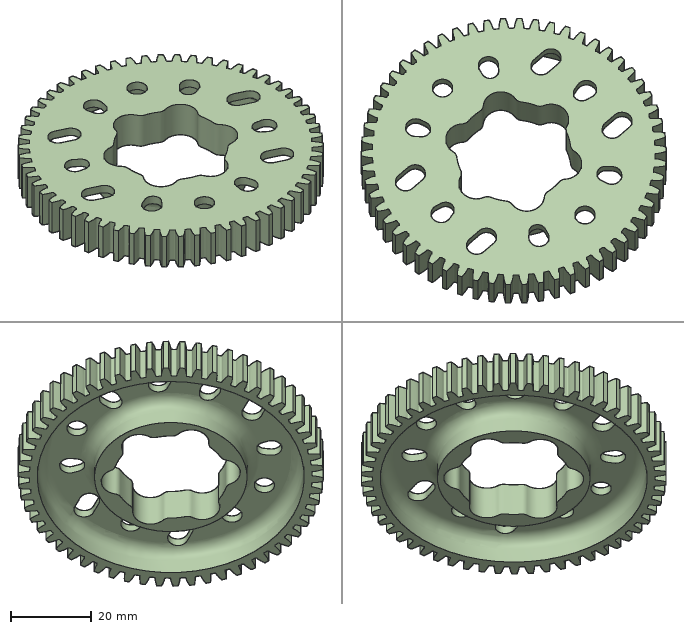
import cadquery as cq
import math

INCH = 25.4

face_width = 0.375 * INCH
tooth_count = 58
diametral_pitch = 20
module = INCH / diametral_pitch
pressure_angle = math.radians(14.5)
dedendum_factor = 1.2
pitch_radius = tooth_count * module / 2
tip_radius = pitch_radius + module
root_radius = pitch_radius - dedendum_factor * module
base_radius = pitch_radius * math.cos(pressure_angle)
root_fillet = 0.35

plus_y = math.pi / 2

lobe_count = 6
bore_radius = 1.125 * INCH / 2
lobe_radius = 4.39
lobe_center_radius = 13.07
lobe_blend_radius = 2.12

bolt_circle_radius = INCH
bolt_diameter = 5.05
slot_x = bolt_circle_radius / 2
slot_inner_y = math.sqrt(bolt_circle_radius**2 - slot_x**2)
slot_outer_y = bolt_circle_radius
small_bolt_circle_radius = 1.875 * INCH / 2
small_bolt_diameter = 4.3
tapered_hole_count = 6

web_thickness = 2.3
hub_radius = 0.75 * INCH
rim_inner_radius = 1.3125 * INCH
recess_fillet = 0.125 * INCH


def polar(radius, angle):
    """Point at the given radius and angle (radians) about the gear axis."""
    return (radius * math.cos(angle), radius * math.sin(angle))


def involute(angle):
    """Involute function of a pressure angle."""
    return math.tan(angle) - angle


def half_tooth_angle(radius):
    """Half the angle a tooth spans at a radius on or above the base circle."""
    local_pressure_angle = math.acos(base_radius / radius)
    pitch_half_angle = math.pi / (2 * tooth_count)
    return pitch_half_angle + involute(pressure_angle) - involute(local_pressure_angle)


def make_blank():
    """Solid spur gear with involute flanks, radial below the base circle."""
    tooth_pitch = 2 * math.pi / tooth_count
    base_half = half_tooth_angle(base_radius)
    tip_half = half_tooth_angle(tip_radius)
    tip_roll = math.sqrt((tip_radius / base_radius) ** 2 - 1)
    mid_radius = base_radius * math.hypot(1, tip_roll / 2)
    mid_half = half_tooth_angle(mid_radius)

    outline = cq.Workplane("XY").moveTo(*polar(root_radius, plus_y - base_half))
    for index in range(tooth_count):
        middle = plus_y + index * tooth_pitch
        start = middle - base_half
        end = middle + base_half
        outline = (
            outline.lineTo(*polar(base_radius, start))
            .spline(
                [polar(mid_radius, middle - mid_half), polar(tip_radius, middle - tip_half)],
                tangents=[polar(1, start), polar(1, start + tip_roll)],
                includeCurrent=True,
            )
            .threePointArc(polar(tip_radius, middle), polar(tip_radius, middle + tip_half))
            .spline(
                [polar(mid_radius, middle + mid_half), polar(base_radius, end)],
                tangents=[polar(-1, end - tip_roll), polar(-1, end)],
                includeCurrent=True,
            )
            .lineTo(*polar(root_radius, end))
            .threePointArc(
                polar(root_radius, middle + tooth_pitch / 2),
                polar(root_radius, start + tooth_pitch),
            )
        )
    blank = outline.close().extrude(face_width)

    below_base_radius = (root_radius + base_radius) / 2
    root_edges = [
        edge
        for edge in blank.edges("|Z").vals()
        if math.hypot(edge.Center().x, edge.Center().y) < below_base_radius
    ]
    return blank.newObject(root_edges).fillet(root_fillet)


def make_recess():
    """Ring removed from the underside, with a rounded ceiling under the web."""
    ring = (
        cq.Workplane("XY")
        .circle(rim_inner_radius)
        .circle(hub_radius)
        .extrude(face_width - web_thickness)
    )
    return ring.faces(">Z").edges().fillet(recess_fillet)


def make_bore():
    """Through bore with six lobes blended into the round bore, one lobe on +Y."""
    to_axis = bore_radius + lobe_blend_radius
    to_lobe = lobe_radius + lobe_blend_radius
    blend_angle = math.acos(
        (to_axis**2 + lobe_center_radius**2 - to_lobe**2) / (2 * to_axis * lobe_center_radius)
    )
    blend_along, blend_across = polar(to_axis, blend_angle)
    lobe_side_angle = math.atan2(blend_across, blend_along - lobe_center_radius)

    touch_along, touch_across = polar(lobe_radius, lobe_side_angle)
    touch_along += lobe_center_radius
    touch_radius = math.hypot(touch_along, touch_across)
    touch_angle = math.atan2(touch_across, touch_along)

    mid_along, mid_across = polar(lobe_blend_radius, math.pi + (blend_angle + lobe_side_angle) / 2)
    mid_along += blend_along
    mid_across += blend_across
    mid_radius = math.hypot(mid_along, mid_across)
    mid_angle = math.atan2(mid_across, mid_along)

    lobe_tip_radius = lobe_center_radius + lobe_radius
    lobe_pitch = 2 * math.pi / lobe_count
    outline = cq.Workplane("XY").moveTo(*polar(bore_radius, plus_y - blend_angle))
    for index in range(lobe_count):
        axis = plus_y + index * lobe_pitch
        outline = (
            outline.threePointArc(
                polar(mid_radius, axis - mid_angle),
                polar(touch_radius, axis - touch_angle),
            )
            .threePointArc(
                polar(lobe_tip_radius, axis),
                polar(touch_radius, axis + touch_angle),
            )
            .threePointArc(
                polar(mid_radius, axis + mid_angle),
                polar(bore_radius, axis + blend_angle),
            )
            .threePointArc(
                polar(bore_radius, axis + lobe_pitch / 2),
                polar(bore_radius, axis + lobe_pitch - blend_angle),
            )
        )
    return outline.close().extrude(face_width)


def make_round_holes():
    """Two bolt holes on the X axis."""
    return (
        cq.Workplane("XY")
        .pushPoints([(bolt_circle_radius, 0), (-bolt_circle_radius, 0)])
        .circle(bolt_diameter / 2)
        .extrude(face_width)
    )


def make_slots():
    """Four slots along Y, from the bolt circle out to the square bolt pattern."""
    spacing = slot_outer_y - slot_inner_y
    middle_y = (slot_outer_y + slot_inner_y) / 2
    centers = [(x, y) for x in (-slot_x, slot_x) for y in (-middle_y, middle_y)]
    return (
        cq.Workplane("XY")
        .pushPoints(centers)
        .slot2D(spacing + bolt_diameter, bolt_diameter, 90)
        .extrude(face_width)
    )


def make_tapered_hole(angle):
    """Hole at an angle in degrees that tapers from a bolt hole to a smaller one nearer the axis."""
    large = bolt_diameter / 2
    small = small_bolt_diameter / 2
    spacing = bolt_circle_radius - small_bolt_circle_radius
    inward = (large - small) / spacing
    across = math.sqrt(1 - inward**2)
    large_touch_x = bolt_circle_radius - large * inward
    small_touch_x = small_bolt_circle_radius - small * inward
    return (
        cq.Workplane("XY")
        .moveTo(large_touch_x, -large * across)
        .threePointArc((bolt_circle_radius + large, 0), (large_touch_x, large * across))
        .lineTo(small_touch_x, small * across)
        .threePointArc((small_bolt_circle_radius - small, 0), (small_touch_x, -small * across))
        .close()
        .extrude(face_width)
        .rotate((0, 0, 0), (0, 0, 1), angle)
    )


result = (
    make_blank()
    .cut(make_recess())
    .cut(make_bore())
    .cut(make_round_holes())
    .cut(make_slots())
)
hole_spacing = 360 / tapered_hole_count
first_hole = hole_spacing / 2
for hole in range(tapered_hole_count):
    result = result.cut(make_tapered_hole(first_hole + hole * hole_spacing))